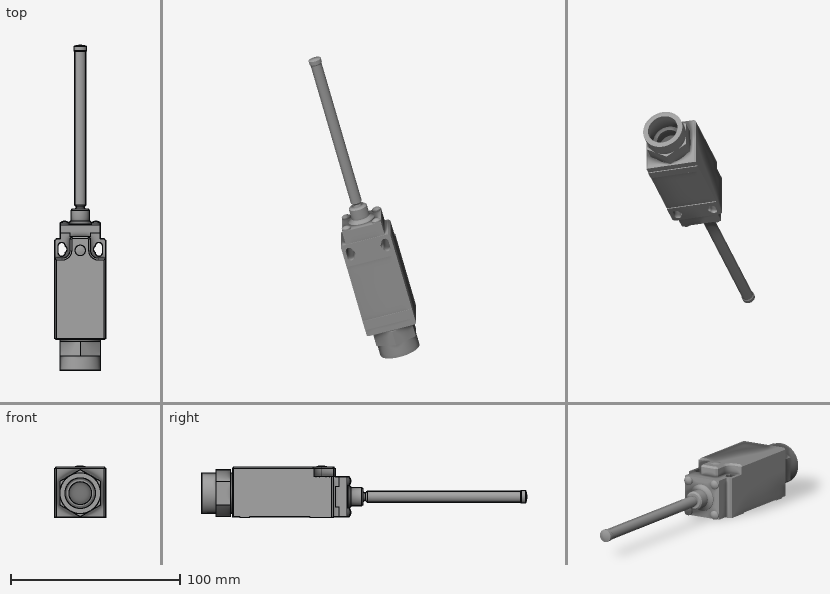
import cadquery as cq


housing_width = 30.3
housing_height = 30.1
housing_edge = 1.1
gland_end_edge = 0.6
ear_end = 59.6
tongue_end = 60.8
post_end = 63.1
foot_height = 0.5
foot_spans = [(4.3, 10.1), (45.8, ear_end)]
tongue_half_width = 6.1
notch_end = 48.1
notch_radius = 4.6

mount_y = 53.3
mount_x = 10.0
mount_diameter = 4.3
slot_x = 11.0
slot_width = 4.1
slot_length = 8.1

lens_y = 52.7
lens_diameter = 6.2
lens_height = 0.5

head_size = 23.8
head_end = 67.8
head_z = foot_height + head_size / 2
head_top = head_z + head_size / 2
skirt_diameter = 16.0
skirt_rim = 0.5
collar_diameter = 11.0
collar_base = 70.1
collar_end = 77.3
collar_edge = 0.9
screw_diameter = 5.3
screw_rim = 1.1
screw_height = 2.2
screw_offset = (head_size - screw_diameter) / 2

rod_diameter = 6.7
rod_start = 79.7
neck_base_diameter = 5.6
neck_waist_diameter = 4.4
neck_waist_height = 1.2
button_diameter = 7.5
button_start = 170.3
button_edge = 0.7
button_rim_end = 173.4
rod_end = 174.1

gland_z = 14.5
gland_diameter = 24.1
gland_seat_length = 1.1
hex_length = 8.8
gland_length = 18.3
gland_bore = 18.1
gland_bore_depth = 12.0
cable_hole = 13.5


def box(x_range, y_range, z_range):
    """Box that fills the given ranges."""
    size = [high - low for low, high in (x_range, y_range, z_range)]
    corner = (x_range[0], y_range[0], z_range[0])
    return cq.Workplane("XY").box(*size, centered=False).translate(corner)


def mirrored(half_width):
    """Range of the given half width about zero."""
    return (-half_width, half_width)


def y_cylinder(diameter, y_start, y_end, z):
    """Cylinder along Y."""
    plane = cq.Plane(origin=(0, y_start, z), xDir=(1, 0, 0), normal=(0, 1, 0))
    return cq.Workplane(plane).circle(diameter / 2).extrude(y_end - y_start)


def revolved_about_y(points, z):
    """Solid of revolution about the line parallel to Y at height z, from (radius, Y) points."""
    profile = cq.Workplane("XY").polyline(points).close()
    return profile.revolve(360, (0, 0), (0, 1)).translate((0, 0, z))


def dome(plane, diameter, height):
    """Spherical cap on a flat base, rising along the local Y of the given plane."""
    radius = diameter / 2
    cap_radius = (radius**2 + height**2) / (2 * height)
    profile = cq.Workplane(plane).lineTo(radius, 0).radiusArc((0, height), -cap_radius).close()
    return profile.revolve(360, (0, 0), (0, 1))


def head_tabs():
    """Crossed bars below the head that lock between the four posts of the housing."""
    y_range = (tongue_end, post_end)
    half = head_size / 2
    across = box(mirrored(half), y_range, (head_z - tongue_half_width, head_z + tongue_half_width))
    upright = box(mirrored(tongue_half_width), y_range, (foot_height, head_top))
    return across.union(upright)


def ear_notch():
    """Notch above the right-hand ear, rounded where it meets the tongue."""
    outside = housing_width
    return (
        cq.Workplane("XY", origin=(0, 0, head_top))
        .moveTo(tongue_half_width, post_end)
        .lineTo(tongue_half_width, notch_end + notch_radius)
        .radiusArc((tongue_half_width + notch_radius, notch_end), -notch_radius)
        .lineTo(outside, notch_end)
        .lineTo(outside, post_end)
        .close()
        .extrude(housing_height)
    )


def housing_outline():
    """Plan of the block with chamfered corners and the tongue between the ears."""
    half = housing_width / 2
    inner = half - housing_edge
    return [
        (-inner, 0),
        (inner, 0),
        (half, gland_end_edge),
        (half, ear_end - housing_edge),
        (inner, ear_end),
        (tongue_half_width, ear_end),
        (tongue_half_width, tongue_end - housing_edge),
        (tongue_half_width - housing_edge, tongue_end),
        (housing_edge - tongue_half_width, tongue_end),
        (-tongue_half_width, tongue_end - housing_edge),
        (-tongue_half_width, ear_end),
        (-inner, ear_end),
        (-half, ear_end - housing_edge),
        (-half, gland_end_edge),
    ]


def gland_end_wedge():
    """Waste above the sloping edge between the top face and the gland face."""
    return (
        cq.Workplane("YZ")
        .moveTo(0, housing_height - housing_edge)
        .lineTo(gland_end_edge, housing_height)
        .lineTo(0, housing_height)
        .close()
        .extrude(housing_width, both=True)
    )


def mount_hole(x_sign):
    """Round hole overlapped by a slot that lies slightly further out."""
    hole = (
        cq.Workplane("XY")
        .center(x_sign * mount_x, mount_y)
        .circle(mount_diameter / 2)
        .extrude(housing_height)
    )
    slot = (
        cq.Workplane("XY")
        .center(x_sign * slot_x, mount_y)
        .slot2D(slot_length, slot_width, 90)
        .extrude(housing_height)
    )
    return hole.union(slot)


def make_housing():
    block = (
        cq.Workplane("XY", origin=(0, 0, foot_height))
        .polyline(housing_outline())
        .close()
        .extrude(housing_height - foot_height)
    )
    right_notch = ear_notch()
    block = block.cut(right_notch).cut(right_notch.mirror("YZ"))

    rim = [edge for edge in block.faces(">Z").edges().vals() if edge.Center().y > gland_end_edge]
    block = block.newObject(rim).chamfer(housing_edge)
    block = block.cut(gland_end_wedge())

    plan = cq.Workplane("XY").polyline(housing_outline()).close().extrude(foot_height)
    for foot_span in foot_spans:
        block = block.union(plan.intersect(box(mirrored(housing_width), foot_span, (0, foot_height))))

    posts = box(mirrored(head_size / 2), (notch_end + notch_radius, post_end), (foot_height, head_top))
    block = block.union(posts).cut(head_tabs())
    for x_sign in (-1, 1):
        block = block.cut(mount_hole(x_sign))
    return block


def make_lens():
    """Shallow dome on the top face of the housing."""
    return dome("XZ", lens_diameter, lens_height).translate((0, lens_y, housing_height))


def screw_head(x, z):
    """Domed screw head standing on the end face of the head."""
    rim = y_cylinder(screw_diameter, head_end, head_end + screw_rim, z)
    cap = dome("XY", screw_diameter, screw_height - screw_rim).translate((0, head_end + screw_rim, z))
    return rim.union(cap).translate((x, 0, 0))


def make_head():
    """Square block with its locking tabs, screw heads and the collar that guides the rod."""
    half = head_size / 2
    head = box(mirrored(half), (post_end, head_end), (foot_height, head_top)).union(head_tabs())
    collar = revolved_about_y(
        [
            (0, head_end),
            (skirt_diameter / 2, head_end),
            (skirt_diameter / 2, head_end + skirt_rim),
            (collar_diameter / 2, collar_base),
            (collar_diameter / 2, collar_end - collar_edge),
            (collar_diameter / 2 - collar_edge, collar_end),
            (0, collar_end),
        ],
        head_z,
    )
    head = head.union(collar)
    for x_sign in (-1, 1):
        for z_sign in (-1, 1):
            head = head.union(screw_head(x_sign * screw_offset, head_z + z_sign * screw_offset))
    return head


def make_rod():
    """Long rod with a narrow neck that stands on the collar and a domed end button."""
    radius = rod_diameter / 2
    shaft = revolved_about_y(
        [
            (0, collar_end),
            (neck_base_diameter / 2, collar_end),
            (neck_waist_diameter / 2, collar_end + neck_waist_height),
            (radius, rod_start),
            (radius, button_start),
            (button_diameter / 2, button_start + button_edge),
            (button_diameter / 2, button_rim_end),
            (0, button_rim_end),
        ],
        head_z,
    )
    cap = dome("XY", button_diameter, rod_end - button_rim_end)
    return shaft.union(cap.translate((0, button_rim_end, head_z)))


def make_gland():
    """Hexagon and barrel with a stepped through bore, seated on the gland face."""
    hex_start = -gland_seat_length
    gland = y_cylinder(gland_diameter, -gland_length, 0, gland_z)
    hexagon = (
        cq.Workplane("XZ", origin=(0, hex_start, gland_z))
        .polygon(6, gland_diameter, circumscribed=True)
        .extrude(hex_length)
    )
    gland = gland.union(hexagon)
    gland = gland.cut(y_cylinder(cable_hole, -gland_length, 0, gland_z))
    return gland.cut(y_cylinder(gland_bore, -gland_length, gland_bore_depth - gland_length, gland_z))


housing = make_housing()
lens = make_lens()
head = make_head()
rod = make_rod()
gland = make_gland()

bodies = [housing, lens, head, rod, gland]
result = cq.Compound.makeCompound([body.solids().val() for body in bodies])